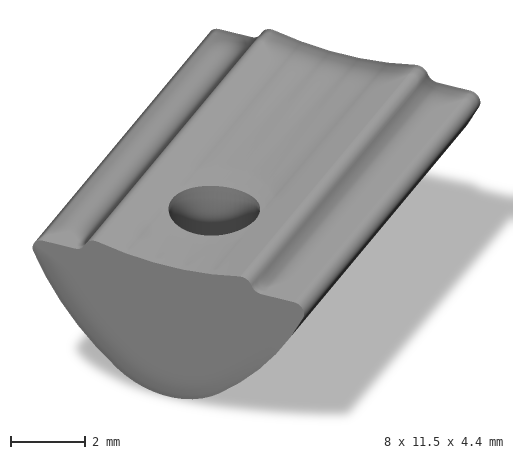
import cadquery as cq
import math

width = 8.0
length = 11.5
height = 4.4

shelf_height = 4.0
nose_radius = 2.5
flank_radius = 8.0
corner_radius = 0.3
step_foot_x = 2.745
lip_outer_x = 2.155
lip_inner_x = 2.115
saddle_radius = 9.5

hole_diameter = 2.46
hole_from_front = 3.0


def point_on_circle(center, radius, angle):
    return (center[0] + radius * math.cos(angle), center[1] + radius * math.sin(angle))


def direction(start, end):
    return math.atan2(end[1] - start[1], end[0] - start[0])


def arc(center, radius, start_angle, end_angle):
    """Middle and end points of an arc, ready for threePointArc."""
    middle = point_on_circle(center, radius, (start_angle + end_angle) / 2)
    return middle, point_on_circle(center, radius, end_angle)


def flank_center(nose_center, corner_center):
    """Center of the flank circle that encloses and touches the nose and corner circles."""
    to_nose = flank_radius - nose_radius
    to_corner = flank_radius - corner_radius
    spacing = math.dist(nose_center, corner_center)
    cos_offset = (to_nose**2 + spacing**2 - to_corner**2) / (2 * to_nose * spacing)
    angle = direction(nose_center, corner_center) + math.acos(cos_offset)
    return point_on_circle(nose_center, to_nose, angle)


def half_profile():
    """Right half of the cross-section, closed along the symmetry line."""
    up = math.pi / 2
    down = -math.pi / 2

    nose = (0, nose_radius)
    corner = (width / 2 - corner_radius, shelf_height - corner_radius)
    flank = flank_center(nose, corner)
    nose_end = direction(flank, nose)
    flank_end = direction(flank, corner)

    step_half_width = (step_foot_x - lip_outer_x) / 2
    step_half_rise = (height - shelf_height) / 2
    step_sweep = 2 * math.atan2(step_half_rise, step_half_width)
    step_radius = step_half_width / math.sin(step_sweep)
    step_foot = (step_foot_x, shelf_height + step_radius)
    lip = (lip_outer_x, height - step_radius)

    lip_edge = (lip_inner_x, height)
    saddle = (0, height + math.sqrt(saddle_radius**2 - lip_inner_x**2))

    return (
        cq.Workplane("XZ")
        .moveTo(0, 0)
        .threePointArc(*arc(nose, nose_radius, down, nose_end))
        .threePointArc(*arc(flank, flank_radius, nose_end, flank_end))
        .threePointArc(*arc(corner, corner_radius, flank_end, up))
        .lineTo(step_foot_x, shelf_height)
        .threePointArc(*arc(step_foot, step_radius, down, down - step_sweep))
        .threePointArc(*arc(lip, step_radius, up - step_sweep, up))
        .lineTo(*lip_edge)
        .threePointArc(*arc(saddle, saddle_radius, direction(saddle, lip_edge), down))
        .close()
    )


def make_body():
    half = half_profile().extrude(length / 2, both=True)
    return half.union(half.mirror("YZ")).clean()


def make_hole():
    return (
        cq.Workplane("XY")
        .center(0, hole_from_front - length / 2)
        .circle(hole_diameter / 2)
        .extrude(height)
    )


result = make_body().cut(make_hole())